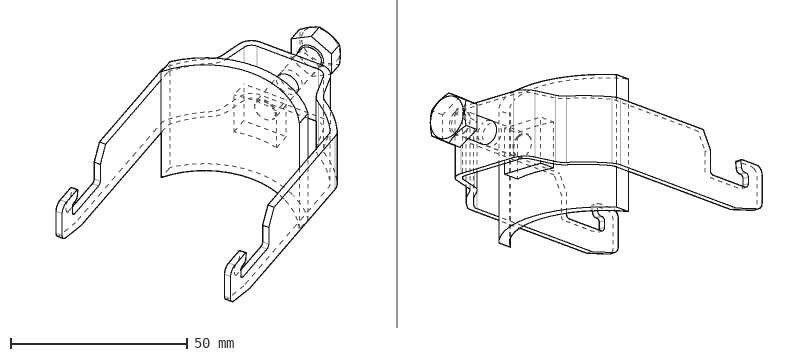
import cadquery as cq
import math


STRAP_WIDTH_X = 57.0
STRAP_HEIGHT = 20.0
STRAP_THICKNESS = 2.0
STRAP_BACK_Y = 49.7
STRAP_FRONT_Y = -35.3
NECK_HALF_WIDTH = 13.9
NECK_ANGLE = 15
SHOULDER_RADIUS = 33.4
SHOULDER_CENTER_Y = 8.9
BEND_INNER_RADIUS = 3.0
BEND_OUTER_RADIUS = BEND_INNER_RADIUS + STRAP_THICKNESS
SHOULDER_BEND_RADIUS = 4.5

RAMP_START_Y = -10.3
RAMP_END_Y = -13.4
RAMP_END_Z = 4.7
SLOT_FLOOR_Z = -2.7
SLOT_END_Y = -29.4
LIP_BOTTOM_Z = 1.7
LIP_BOTTOM_Y = -26.6
TIP_Y = -26.2
TIP_Z = 5.3
TOE_START_Y = -24.2
TOE_END_Z = -7.3
SLOT_CORNER_RADIUS = 1.0
SLOT_END_RADIUS = 1.4
LIP_RADIUS = 1.4
LIP_ROOT_RADIUS = 1.0
TIP_RADIUS = 0.5
HOOK_CORNER_RADIUS = 2.4

SADDLE_INNER_RADIUS = 26.9
SADDLE_OUTER_RADIUS = 30.0
SADDLE_WIDTH = 45.1
SADDLE_HEIGHT = 40.0
BLOCK_SIZE = 13.9
BLOCK_BACK_Y = 34.7

SHANK_DIAMETER = 7.1
HEAD_ACROSS_FLATS = 13.2
HEAD_HEIGHT = 5.4
OVERALL_LENGTH = 102
HEAD_TOP_Y = STRAP_FRONT_Y + OVERALL_LENGTH
HEAD_TOP_DIAMETER = 12.5
HEAD_CHAMFER_ANGLE = 30
NECK_FLARE = 0.4
TIP_CHAMFER = 0.2


def strap_profile(inset, back_radius, shoulder_fillet, side_radius):
    """Solid block bounded by the strap's outer face moved inward by inset."""
    half_width = STRAP_WIDTH_X / 2 - inset
    back_y = STRAP_BACK_Y - inset
    radius = SHOULDER_RADIUS - inset
    slope = math.tan(math.radians(NECK_ANGLE))

    neck_x0 = NECK_HALF_WIDTH + slope * STRAP_BACK_Y - inset / math.cos(math.radians(NECK_ANGLE))
    back_x = neck_x0 - slope * back_y

    a = 1 + slope**2
    b = -2 * (slope * neck_x0 + SHOULDER_CENTER_Y)
    c = neck_x0**2 + SHOULDER_CENTER_Y**2 - radius**2
    knee_y = (-b + math.sqrt(b**2 - 4 * a * c)) / (2 * a)
    knee_x = neck_x0 - slope * knee_y

    side_y = SHOULDER_CENTER_Y + math.sqrt(radius**2 - half_width**2)
    middle_x = (knee_x + half_width) / 2
    middle_y = SHOULDER_CENTER_Y + math.sqrt(radius**2 - middle_x**2)
    block = (
        cq.Workplane("XY")
        .moveTo(-half_width, STRAP_FRONT_Y)
        .lineTo(half_width, STRAP_FRONT_Y)
        .lineTo(half_width, side_y)
        .threePointArc((middle_x, middle_y), (knee_x, knee_y))
        .lineTo(back_x, back_y)
        .lineTo(-back_x, back_y)
        .lineTo(-knee_x, knee_y)
        .threePointArc((-middle_x, middle_y), (-half_width, side_y))
        .close()
        .extrude(STRAP_HEIGHT / 2, both=True)
    )
    bends = (
        (back_x, back_y, back_radius),
        (knee_x, knee_y, shoulder_fillet),
        (half_width, side_y, side_radius),
    )
    for x, y, bend_radius in bends:
        for side in (-1, 1):
            corner = cq.selectors.NearestToPointSelector((side * x, y, 0))
            block = block.edges("|Z").edges(corner).fillet(bend_radius)
    return block


def make_leg_outline():
    """Side shape of the strap, with the hooks, extended across its full width."""
    top_z = STRAP_HEIGHT / 2
    outline = (
        cq.Workplane("YZ")
        .moveTo(STRAP_BACK_Y, -top_z)
        .lineTo(STRAP_BACK_Y, top_z)
        .lineTo(RAMP_START_Y, top_z)
        .lineTo(RAMP_END_Y, RAMP_END_Z)
        .lineTo(RAMP_END_Y, SLOT_FLOOR_Z)
        .lineTo(SLOT_END_Y, SLOT_FLOOR_Z)
        .lineTo(SLOT_END_Y, LIP_BOTTOM_Z)
        .lineTo(LIP_BOTTOM_Y, LIP_BOTTOM_Z)
        .lineTo(TIP_Y, TIP_Z)
        .lineTo(STRAP_FRONT_Y, TIP_Z)
        .lineTo(STRAP_FRONT_Y, TOE_END_Z)
        .lineTo(TOE_START_Y, -top_z)
        .close()
        .extrude(STRAP_WIDTH_X / 2, both=True)
    )
    rounded_corners = (
        (RAMP_END_Y, SLOT_FLOOR_Z, SLOT_CORNER_RADIUS),
        (SLOT_END_Y, SLOT_FLOOR_Z, SLOT_END_RADIUS),
        (SLOT_END_Y, LIP_BOTTOM_Z, LIP_ROOT_RADIUS),
        (LIP_BOTTOM_Y, LIP_BOTTOM_Z, LIP_RADIUS),
        (TIP_Y, TIP_Z, TIP_RADIUS),
        (STRAP_FRONT_Y, TIP_Z, HOOK_CORNER_RADIUS),
        (STRAP_FRONT_Y, TOE_END_Z, HOOK_CORNER_RADIUS),
    )
    for y, z, radius in rounded_corners:
        corner = cq.selectors.NearestToPointSelector((0, y, z))
        outline = outline.edges("|X").edges(corner).fillet(radius)
    return outline


def bolt_cylinder(diameter, start_y, end_y):
    """Cylinder on the bolt axis."""
    plane = cq.Workplane("XZ", origin=(0, start_y, 0))
    return plane.circle(diameter / 2).extrude(start_y - end_y)


def make_strap():
    outside = strap_profile(0, BEND_OUTER_RADIUS, SHOULDER_BEND_RADIUS, BEND_OUTER_RADIUS)
    shoulder_inside = SHOULDER_BEND_RADIUS + STRAP_THICKNESS
    inside = strap_profile(STRAP_THICKNESS, BEND_INNER_RADIUS, shoulder_inside, BEND_INNER_RADIUS)
    bolt_hole = bolt_cylinder(SHANK_DIAMETER, BLOCK_BACK_Y, HEAD_TOP_Y)
    return outside.cut(inside).intersect(make_leg_outline()).cut(bolt_hole)


def make_saddle():
    """Curved plate trimmed to its width, with the block the bolt presses on."""
    bore = cq.Workplane("XY").circle(SADDLE_INNER_RADIUS).extrude(SADDLE_HEIGHT / 2, both=True)
    trim = cq.Workplane("XY").box(SADDLE_WIDTH, SADDLE_OUTER_RADIUS, SADDLE_HEIGHT)
    trim = trim.translate((0, SADDLE_OUTER_RADIUS / 2, 0))
    plate = cq.Workplane("XY").circle(SADDLE_OUTER_RADIUS).extrude(SADDLE_HEIGHT / 2, both=True)
    plate = plate.intersect(trim)
    block = cq.Workplane("XY").box(BLOCK_SIZE, BLOCK_BACK_Y, BLOCK_SIZE)
    block = block.translate((0, BLOCK_BACK_Y / 2, 0))
    return plate.union(block).cut(bore)


def make_bolt():
    head_base_y = HEAD_TOP_Y - HEAD_HEIGHT
    corner_radius = HEAD_ACROSS_FLATS / math.sqrt(3)
    corners = []
    for index in range(6):
        angle = math.radians(90 + 60 * index)
        corners.append((corner_radius * math.cos(angle), corner_radius * math.sin(angle)))
    head = cq.Workplane("XZ", origin=(0, head_base_y, 0)).polyline(corners).close().extrude(-HEAD_HEIGHT)

    top_radius = HEAD_TOP_DIAMETER / 2
    corner_drop = (corner_radius - top_radius) * math.tan(math.radians(HEAD_CHAMFER_ANGLE))
    envelope = (
        cq.Workplane("XY")
        .moveTo(0, head_base_y)
        .lineTo(corner_radius, head_base_y)
        .lineTo(corner_radius, HEAD_TOP_Y - corner_drop)
        .lineTo(top_radius, HEAD_TOP_Y)
        .lineTo(0, HEAD_TOP_Y)
        .close()
        .revolve(360, (0, 0, 0), (0, 1, 0))
    )
    head = head.intersect(envelope)

    shank = bolt_cylinder(SHANK_DIAMETER, BLOCK_BACK_Y, head_base_y)
    shank = shank.faces("<Y").chamfer(TIP_CHAMFER)
    shank_radius = SHANK_DIAMETER / 2
    flare = (
        cq.Workplane("XY")
        .moveTo(0, head_base_y - NECK_FLARE)
        .lineTo(shank_radius, head_base_y - NECK_FLARE)
        .lineTo(shank_radius + NECK_FLARE, head_base_y)
        .lineTo(0, head_base_y)
        .close()
        .revolve(360, (0, 0, 0), (0, 1, 0))
    )
    return head.union(shank).union(flare)


strap = make_strap()
saddle = make_saddle()
bolt = make_bolt()

result = cq.Compound.makeCompound([strap.val(), saddle.val(), bolt.val()])